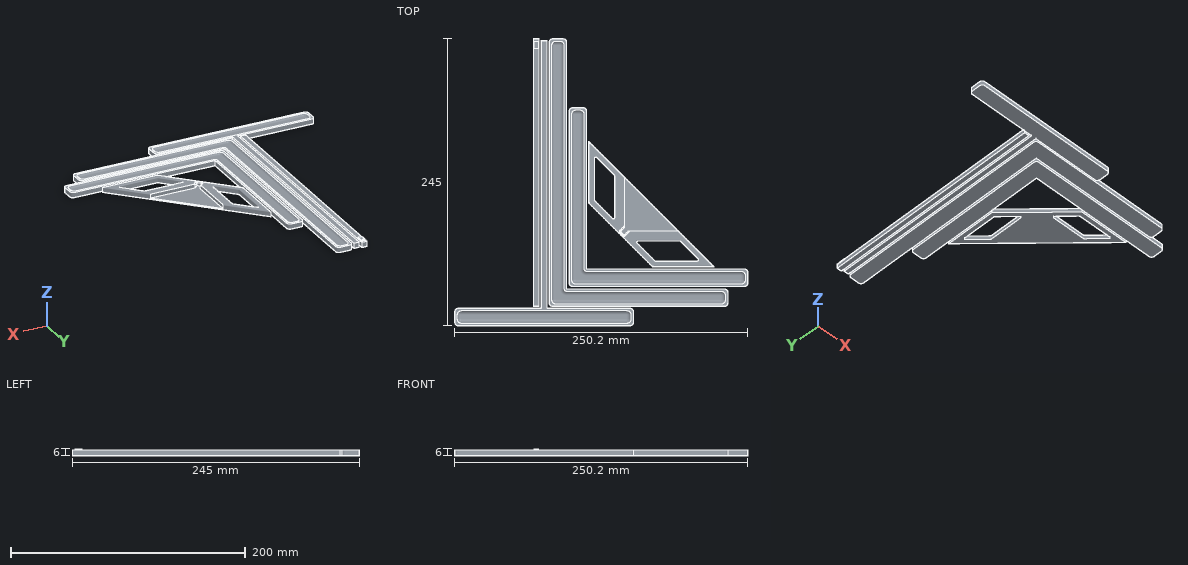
import cadquery as cq
import math

thickness = 5.0
strip_width = 15.0
short_leg = 152.5
long_leg = 228.5
corner_radius = 3.0

channel_rim = 2.0
channel_radius = 3.8
channel_depth = 2.8

overall_length = 250.2
overall_width = 245.0
stem_width = 5.0
stem_top = 243.5
bar_left = 67.0
bar_top = overall_width
nested_gap = 2.0

outer_square_left = 80.5
outer_square_bottom = overall_width - long_leg
inner_square_left = overall_length - short_leg
inner_square_bottom = outer_square_bottom + strip_width + nested_gap

mark_height = 1.0
mark_width = 4.0
mark_length = 5.8
mark_top_inset = 2.5

plate_gap = 1.8
plate_left = inner_square_left + strip_width + plate_gap
plate_bottom = inner_square_bottom + strip_width + plate_gap
plate_leg = 107.0
plate_cut = 54.5
plate_rounding = 1.0
neck_flare = 1.0

recess_offset = 30.5
recess_depth = 3.8
neck_width = 4.5

window_near = 5.0
window_far = 22.0
window_border = 5.0
window_corner_radius = 1.0

root2 = math.sqrt(2)


def plate(outline, height=thickness):
    """Flat slab standing on Z = 0."""
    return cq.Workplane().polyline(outline).close().extrude(height)


def corner_edges(solid, corners):
    """Edges standing at the given plan positions."""
    tolerance = 0.003
    picked = [
        edge
        for edge in solid.edges("|Z").vals()
        if any(math.hypot(edge.Center().x - x, edge.Center().y - y) < tolerance for x, y in corners)
    ]
    return solid.newObject(picked)


def channel_cutter(outline, inside_corner=None):
    """Channel cutter with rounded floor edges, standing proud of the top face."""
    floor_z = thickness - channel_depth
    cutter_height = 2 * channel_depth
    cutter = plate(outline, cutter_height).translate((0, 0, floor_z))
    outside = [point for point in outline if point != inside_corner]
    cutter = corner_edges(cutter, outside).fillet(channel_radius)
    if inside_corner:
        cutter = corner_edges(cutter, [inside_corner]).fillet(channel_rim)
    return cutter.faces("<Z").edges().fillet(channel_radius)


def rectangle(left, bottom, right, top):
    return [(left, bottom), (right, bottom), (right, top), (left, top)]


def ell(left, bottom, right, top, width):
    """L outline whose fourth point is the inside corner."""
    return [
        (left, bottom),
        (right, bottom),
        (right, bottom + width),
        (left + width, bottom + width),
        (left + width, top),
        (left, top),
    ]


def square_gauge(left, bottom, height):
    """L-shaped gauge with one channel following both legs."""
    right = left + short_leg
    top = bottom + height
    outline = ell(left, bottom, right, top, strip_width)
    outside = outline[:3] + outline[4:]
    body = corner_edges(plate(outline), outside).fillet(corner_radius)
    channel = ell(
        left + channel_rim,
        bottom + channel_rim,
        right - channel_rim,
        top - channel_rim,
        strip_width - 2 * channel_rim,
    )
    return body.cut(channel_cutter(channel, channel[3]))


def tee_gauge():
    """Channelled head with a thin plain stem at its middle."""
    head = plate(rectangle(0, 0, short_leg, strip_width)).edges("|Z").fillet(corner_radius)
    channel = rectangle(
        channel_rim, channel_rim, short_leg - channel_rim, strip_width - channel_rim
    )
    stem_left = (short_leg - stem_width) / 2
    stem = plate(rectangle(stem_left, strip_width / 2, stem_left + stem_width, stem_top))
    return head.union(stem).cut(channel_cutter(channel))


def marking_bar():
    """Plain bar with a small raised mark near one end."""
    bar = plate(rectangle(bar_left, bar_top - long_leg, bar_left + stem_width, bar_top))
    mark_left = bar_left + (stem_width - mark_width) / 2
    mark_top = bar_top - mark_top_inset
    mark = plate(
        rectangle(mark_left, mark_top - mark_length, mark_left + mark_width, mark_top),
        thickness + mark_height,
    )
    return bar.union(mark)


def windows():
    """Cutters for the two mirrored parallelogram openings, one along each leg edge."""
    low = plate_cut + window_border * root2
    high = plate_leg - window_border * root2
    upright = [
        (window_near, low - window_near),
        (window_far, low - window_far),
        (window_far, high - window_far),
        (window_near, high - window_near),
    ]
    lying = [(y, x) for x, y in upright]
    return [plate(outline).edges("|Z").fillet(window_corner_radius) for outline in (upright, lying)]


def recess_cutter():
    """Triangular recess, open along the long slanted edge, with a flared neck at its corner."""
    floor_z = thickness - recess_depth
    triangle = [
        (recess_offset, recess_offset),
        (plate_leg, recess_offset),
        (recess_offset, plate_leg),
    ]
    recess = plate(triangle, recess_depth).translate((0, 0, floor_z))
    neck_start = plate_cut / root2 + plate_rounding + neck_flare
    neck_end = recess_offset * root2 + neck_width
    neck_length = neck_end - neck_start
    neck = (
        cq.Workplane()
        .workplane(offset=floor_z)
        .rect(neck_length, neck_width)
        .extrude(recess_depth - neck_flare)
        .faces(">Z")
        .workplane()
        .rect(neck_length, neck_width)
        .extrude(neck_flare, taper=-45)
        .translate((neck_start + neck_length / 2, 0, 0))
        .rotate((0, 0, 0), (0, 0, 1), 45)
    )
    return recess.union(neck)


def angle_plate():
    """Right-angle plate with its square corner cut off, two windows and a central recess."""
    outline = [(0, plate_cut), (plate_cut, 0), (plate_leg, 0), (0, plate_leg)]
    body = plate(outline)
    for window in windows():
        body = body.cut(window)
    body = body.faces(">Z").edges().fillet(plate_rounding)
    return body.cut(recess_cutter()).translate((plate_left, plate_bottom, 0))


tee = tee_gauge().solids()
bar = marking_bar().solids()
outer_square = square_gauge(outer_square_left, outer_square_bottom, long_leg).solids()
inner_square = square_gauge(inner_square_left, inner_square_bottom, short_leg).solids()
angle = angle_plate().solids()

result = cq.Compound.makeCompound(
    [tee.val(), bar.val(), outer_square.val(), inner_square.val(), angle.val()]
)